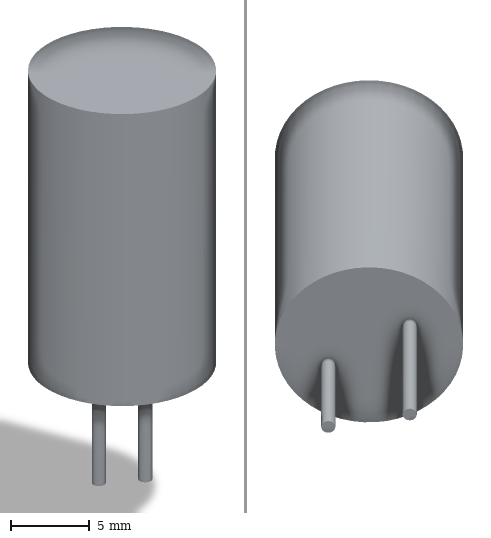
import cadquery as cq

overall_height = 31.0
can_diameter = 12.0

lead_diameter = 0.9
lead_spacing = 6.0
long_lead_length = 10.0
short_lead_length = 7.0

can_height = overall_height - long_lead_length


def make_can():
    """Plain cylinder rising from the base plane."""
    return cq.Workplane("XY").circle(can_diameter / 2).extrude(can_height)


def make_lead(x_position, length):
    """Straight round lead hanging from the underside of the can."""
    return cq.Workplane("XY").center(x_position, 0).circle(lead_diameter / 2).extrude(-length)


can = make_can()

lead_layout = [
    (-lead_spacing / 2, long_lead_length),
    (lead_spacing / 2, short_lead_length),
]
leads = [make_lead(x_position, length) for x_position, length in lead_layout]

result = cq.Compound.makeCompound([can.val(), *[lead.val() for lead in leads]])